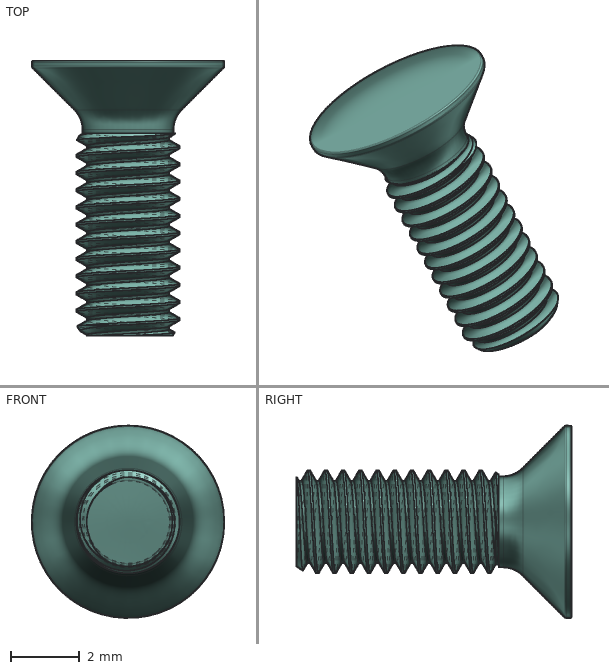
import cadquery as cq
import math

length = 8.0

head_radius = 2.8
rim_height = 0.18
rim_top_round = 0.05
rim_cone_round = 0.07
cone_angle = math.radians(45)

neck_radius = 1.33
neck_fillet = 0.8
thread_start = 2.11

major_diameter = 3.0
major_radius = major_diameter / 2
pitch = major_diameter / 6
minor_radius = 1.2
first_crest = 2.02
flank_angle = math.radians(30)
crest_width = pitch / 8
run_out_radius = 1.26
run_out_length = 0.1
start_radius = 1.38
start_chamfer_length = 0.22
tip_radius = 1.3
tip_chamfer_length = 0.3
tip_dish_radius = 1.22
tip_dish_depth = 0.07

ridge_root_depth = 0.04
chamfer_extension = 1.4


def make_head():
    """Rimmed cone that blends through a fillet into the neck, turned about Z."""
    fillet_drop = neck_fillet * (1 - math.cos(cone_angle))
    cone_end_radius = neck_radius + fillet_drop
    cone_end = rim_height + (head_radius - cone_end_radius) / math.tan(cone_angle)
    fillet_end = cone_end + neck_fillet * math.sin(cone_angle)
    half_turn = cone_angle / 2
    fillet_mid = (
        neck_radius + neck_fillet * (1 - math.cos(half_turn)),
        fillet_end - neck_fillet * math.sin(half_turn),
    )
    head = (
        cq.Workplane("XZ")
        .lineTo(head_radius, 0)
        .lineTo(head_radius, rim_height)
        .lineTo(cone_end_radius, cone_end)
        .threePointArc(fillet_mid, (neck_radius, fillet_end))
        .lineTo(neck_radius, thread_start)
        .lineTo(0, thread_start)
        .close()
        .revolve(360, (0, 0), (0, 1))
    )
    head = head.edges("%CIRCLE").edges("<Z").fillet(rim_top_round)
    rim_edge = cq.selectors.RadiusNthSelector(-1)
    return head.edges("%CIRCLE").edges(rim_edge).edges(">Z").fillet(rim_cone_round)


def make_core():
    """Cylinder at the thread root, with a wider run-out collar next to the neck."""
    start_face = cq.Workplane("XY").workplane(offset=thread_start)
    core = start_face.circle(minor_radius).extrude(length - thread_start)
    collar = start_face.circle(run_out_radius).extrude(run_out_length)
    return core.union(collar)


def make_ridge():
    """Helical V-shaped ridge, longer than the thread at both ends."""
    root_radius = minor_radius - ridge_root_depth
    root_width = crest_width + 2 * (major_radius - root_radius) * math.tan(flank_angle)
    helix_start = first_crest - pitch
    helix_height = length + pitch - helix_start
    helix = cq.Wire.makeHelix(pitch, helix_height, minor_radius)
    path = helix.translate(cq.Vector(0, 0, helix_start))
    return (
        cq.Workplane("XZ")
        .polyline([
            (root_radius, helix_start - root_width / 2),
            (major_radius, helix_start - crest_width / 2),
            (major_radius, helix_start + crest_width / 2),
            (root_radius, helix_start + root_width / 2),
        ])
        .close()
        .sweep(cq.Workplane(obj=path), isFrenet=True)
    )


def make_thread_envelope():
    """Barrel that trims the ridge to a chamfer at each end and clears the crests between."""
    start_rise = (major_radius - start_radius) * chamfer_extension
    start_run = start_chamfer_length * chamfer_extension
    tip_rise = (major_radius - tip_radius) * chamfer_extension
    tip_run = tip_chamfer_length * chamfer_extension
    return (
        cq.Workplane("XZ")
        .moveTo(0, thread_start)
        .lineTo(start_radius, thread_start)
        .lineTo(start_radius + start_rise, thread_start + start_run)
        .lineTo(tip_radius + tip_rise, length - tip_run)
        .lineTo(tip_radius, length)
        .lineTo(0, length)
        .close()
        .revolve(360, (0, 0), (0, 1))
    )


def make_tip_dish():
    """Ball that hollows the tip face."""
    ball_radius = (tip_dish_radius**2 + tip_dish_depth**2) / (2 * tip_dish_depth)
    ball_center = length - tip_dish_depth + ball_radius
    return cq.Workplane("XY").sphere(ball_radius).translate((0, 0, ball_center))


ridge = make_ridge().intersect(make_thread_envelope())
screw = make_head().union(make_core()).union(ridge).cut(make_tip_dish())
result = screw.rotate((0, 0, 0), (1, 0, 0), 90).solids()